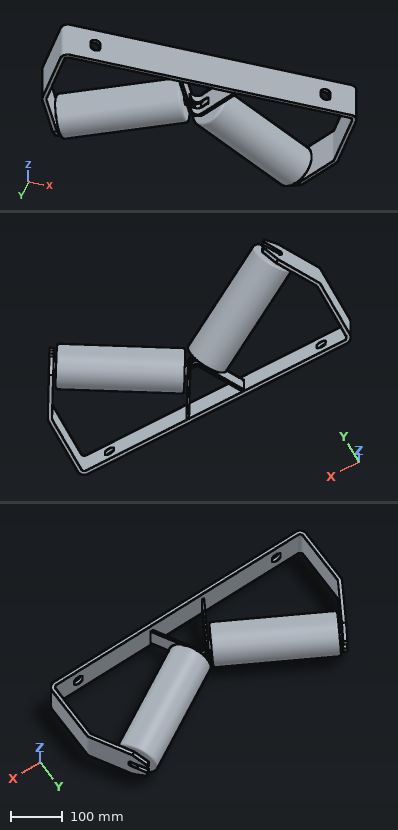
import cadquery as cq
import math

SIDES = (-1, 1)

frame_width = 600.0
frame_height = 80.5
frame_thickness = 8.5
frame_bend_radius = 15.0
arm_bend_y = 135.5
arm_length = 126.5
arm_lean = 30.0
arm_corner_length = 31.0
arm_corner_height = 17.5
mount_hole_width = 20.0
mount_hole_height = 27.0
mount_hole_spacing = 467.0

bracket_height = 50.0
bracket_thickness = 5.0
bracket_bend_radius = 17.0
bracket_half_width = 63.0

roller_tilt = 1.6
roller_radius = 44.5
roller_length = 249.0
roller_edge_fillet = 5.0
roller_gap = 5.5
shaft_radius = 10.0
shaft_flat_width = 13.0
slot_width = 16.0
shaft_along_arm = 97.0
flat_clearance = 0.5
cut_margin = 3.0

lean_cos = math.cos(math.radians(arm_lean))
lean_sin = math.sin(math.radians(arm_lean))
tilt_cos = math.cos(math.radians(roller_tilt))
tilt_sin = math.sin(math.radians(roller_tilt))
half_width = frame_width / 2


def arm_point(along, inward=0.0):
    """X and Y of a point on the right arm, from the outer bend corner."""
    x = half_width - along * lean_sin - inward * lean_cos
    y = arm_bend_y + along * lean_cos - inward * lean_sin
    return x, y


leg_outer_distance = (
    (half_width - bracket_half_width) * lean_cos
    + (arm_bend_y - frame_thickness) * lean_sin
)
shaft_length = (leg_outer_distance + bracket_thickness) / tilt_cos
bracket_center_z = -leg_outer_distance * tilt_sin


def mirrored_outline(right_half):
    """Closes a chain of points with its mirror image across X = 0."""
    return right_half + [(-x, y) for x, y in reversed(right_half)]


def axis_plane(side, distance=0.0):
    """Plane across a roller axis: local X runs down the arm, the normal runs toward the centre."""
    x, y = arm_point(shaft_along_arm)
    normal = cq.Vector(-side * lean_cos * tilt_cos, -lean_sin * tilt_cos, -tilt_sin)
    origin = cq.Vector(side * x, y, 0) + normal * distance
    return cq.Plane(origin, xDir=(side * lean_sin, -lean_cos, 0), normal=normal)


def shaft_slot(side, start, depth, length):
    """Cutter for an open slot whose rounded bottom fits the shaft."""
    plane = axis_plane(side, start)
    disc = cq.Workplane(plane).circle(shaft_radius).extrude(depth)
    reach = length + shaft_radius
    channel = (
        cq.Workplane(plane)
        .center(reach / 2 - length, 0)
        .rect(reach, slot_width)
        .extrude(depth)
    )
    upper_part = cq.Workplane(plane).center(-length / 2, 0).rect(length, slot_width).extrude(depth)
    return disc.intersect(channel).union(upper_part)


def arm_corner_cuts(side):
    """Wedges that cut off the two corners at the tip of an arm."""
    tip_x, tip_y = arm_point(arm_length)
    plane = cq.Plane(
        (side * tip_x, tip_y, 0),
        xDir=(-side * lean_sin, lean_cos, 0),
        normal=(-side * lean_cos, -lean_sin, 0),
    )
    edge = frame_height / 2
    wedges = cq.Workplane(plane)
    for end in (-1, 1):
        wedges = wedges.polyline(
            [(0, end * edge), (-arm_corner_length, end * edge), (0, end * (edge - arm_corner_height))]
        ).close()
    return wedges.extrude(frame_thickness)


def make_frame():
    t = frame_thickness
    inner_bend_y = arm_bend_y - t * math.tan(math.radians(arm_lean / 2))
    outer_bends = [(half_width, 0), (half_width, arm_bend_y)]
    inner_bends = [(half_width - t, inner_bend_y), (half_width - t, t)]
    tip = [arm_point(arm_length), arm_point(arm_length, t)]
    outline = mirrored_outline(outer_bends + tip + inner_bends)
    frame = cq.Workplane("XY").polyline(outline).close().extrude(frame_height / 2, both=True)

    for bends, radius in ((outer_bends, frame_bend_radius), (inner_bends, frame_bend_radius - t)):
        for x, y in bends:
            for side in SIDES:
                frame = frame.edges(cq.NearestToPointSelector((side * x, y, 0))).fillet(radius)

    for side in SIDES:
        frame = frame.cut(arm_corner_cuts(side))
        slot_length = arm_length - shaft_along_arm + cut_margin
        frame = frame.cut(shaft_slot(side, -cut_margin, t + 2 * cut_margin, slot_length))

    mount_holes = (
        cq.Workplane("XZ")
        .pushPoints([(side * mount_hole_spacing / 2, 0) for side in SIDES])
        .slot2D(mount_hole_height, mount_hole_width, 90)
        .extrude(-t)
    )
    return frame.cut(mount_holes)


def make_bracket():
    t = bracket_thickness
    foot_y = frame_thickness
    peak_rise = lean_cos / lean_sin
    inner_half_width = bracket_half_width - t / lean_cos
    outer_peak = (0, foot_y + bracket_half_width * peak_rise)
    inner_peak = (0, foot_y + inner_half_width * peak_rise)
    outline = [
        (-bracket_half_width, foot_y),
        outer_peak,
        (bracket_half_width, foot_y),
        (inner_half_width, foot_y),
        inner_peak,
        (-inner_half_width, foot_y),
    ]
    bracket = (
        cq.Workplane("XY", origin=(0, 0, bracket_center_z))
        .polyline(outline)
        .close()
        .extrude(bracket_height / 2, both=True)
    )
    for (x, y), radius in ((outer_peak, bracket_bend_radius), (inner_peak, bracket_bend_radius - t)):
        bracket = bracket.edges(cq.NearestToPointSelector((x, y, bracket_center_z))).fillet(radius)

    slot_length = 2 * bracket_bend_radius
    slot_depth = bracket_bend_radius + cut_margin
    for side in SIDES:
        bracket = bracket.cut(shaft_slot(side, leg_outer_distance - cut_margin, slot_depth, slot_length))
    return bracket


def make_roller(side):
    body_start = frame_thickness + roller_gap
    body = (
        cq.Workplane(axis_plane(side, body_start))
        .circle(roller_radius)
        .extrude(roller_length)
        .edges()
        .fillet(roller_edge_fillet)
    )
    far_flats = frame_thickness + flat_clearance
    near_flats = bracket_thickness + flat_clearance
    round_shaft = (
        cq.Workplane(axis_plane(side, far_flats))
        .circle(shaft_radius)
        .extrude(shaft_length - far_flats - near_flats)
    )
    flat_bar = cq.Workplane(axis_plane(side)).rect(2 * shaft_radius, shaft_flat_width).extrude(shaft_length)
    shaft_core = cq.Workplane(axis_plane(side)).circle(shaft_radius).extrude(shaft_length)
    return body.union(round_shaft).union(shaft_core.intersect(flat_bar))


frame = make_frame()
bracket = make_bracket()
rollers = [make_roller(side) for side in SIDES]

result = cq.Compound.makeCompound([frame.val(), bracket.val(), *[roller.val() for roller in rollers]])